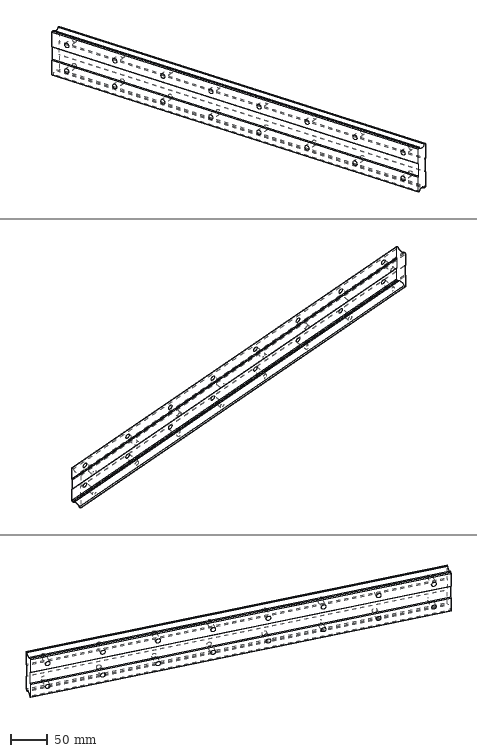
import cadquery as cq
import math

length = 610.0
thickness = 19.0
height = 69.0

recess_height = 20.0
recess_depth = 1.0

groove_floor = 4.0
groove_radius = 3.35

corner_bevel = 1.35

hole_radius = 3.5
holes_per_row = 8
end_margin = 25.0
row_spacing = 40.0
hole_pitch = (length - 2 * end_margin) / (holes_per_row - 1)


def extrude_along_bar(outline):
    """Extrude a closed Y-Z outline over the full length of the bar."""
    return outline.extrude(length / 2, both=True)


def make_bar():
    """Plain rectangular bar with bevelled long corners."""
    bar = cq.Workplane("XY").box(length, thickness, height)
    return bar.edges("|X").chamfer(corner_bevel)


def face_recess(side):
    """Cutter for the recess on the face at +Y (side = 1) or -Y (side = -1)."""
    face_y = side * thickness / 2
    floor_y = side * (thickness / 2 - recess_depth)
    half_mouth = recess_height / 2 + recess_depth / 2
    half_floor = recess_height / 2 - recess_depth / 2
    outline = [
        (face_y, -half_mouth),
        (floor_y, -half_floor),
        (floor_y, half_floor),
        (face_y, half_mouth),
    ]
    return extrude_along_bar(cq.Workplane("YZ").polyline(outline).close())


def edge_groove(side):
    """Cutter for the groove along the top (side = 1) or bottom (side = -1) edge."""
    mouth_z = side * height / 2
    floor_z = side * (height / 2 - groove_radius)
    half_floor = groove_floor / 2
    half_mouth = half_floor + groove_radius
    arc_reach = groove_radius * math.sin(math.pi / 4)
    middle_y = half_floor + arc_reach
    middle_z = mouth_z - side * arc_reach
    outline = (
        cq.Workplane("YZ")
        .moveTo(-half_mouth, mouth_z)
        .threePointArc((-middle_y, middle_z), (-half_floor, floor_z))
        .lineTo(half_floor, floor_z)
        .threePointArc((middle_y, middle_z), (half_mouth, mouth_z))
        .close()
    )
    return extrude_along_bar(outline)


def hole_rows():
    """Cutters for both rows of holes, running right through the thickness."""
    return (
        cq.Workplane("XZ")
        .rarray(hole_pitch, row_spacing, holes_per_row, 2)
        .circle(hole_radius)
        .extrude(thickness, both=True)
    )


result = make_bar()
for side in (1, -1):
    result = result.cut(face_recess(side)).cut(edge_groove(side))
result = result.cut(hole_rows())